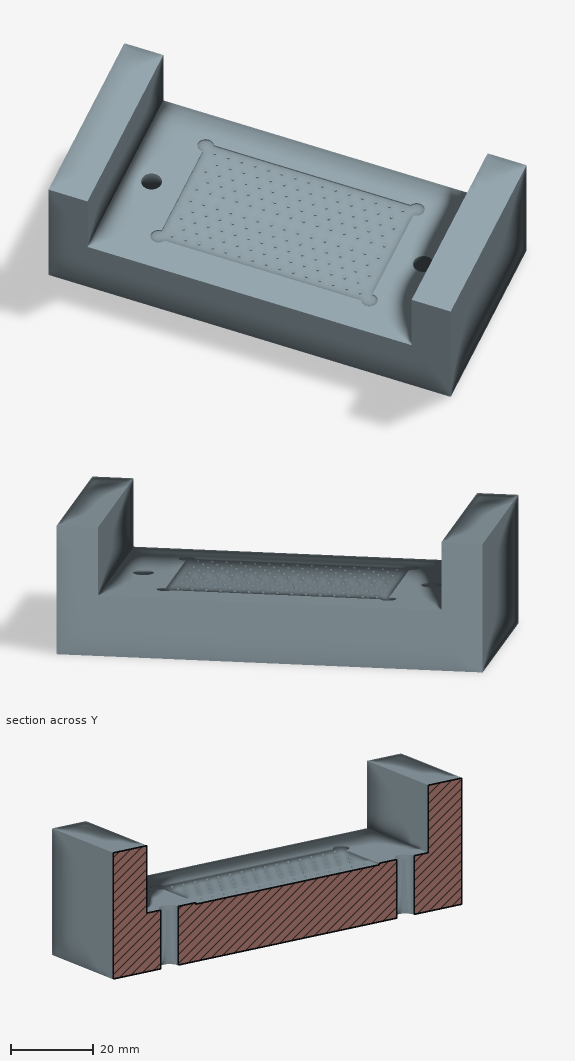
import cadquery as cq

length = 105.0
width = 50.0
height = 32.1
wall_thickness = 10.2
floor_height = 15.0

pocket_length = 55.0
pocket_width = 32.5
pocket_depth = 0.4
relief_diameter = 4.0
relief_inset = 0.81

mount_hole_diameter = 5.0
mount_hole_spacing = 71.0

pin_diameter = 0.6
pin_columns = 15
rows_per_bank = 5
pin_field_length = 49.0
pin_field_width = 28.0
bank_gap = 4.0
column_pitch = pin_field_length / (pin_columns - 1)
row_pitch = (pin_field_width - bank_gap) / 2 / (rows_per_bank - 1)

pocket_floor = floor_height - pocket_depth


def make_body():
    """U-shaped block: a floor with an upright wall at each end in X."""
    block = cq.Workplane("XY").box(length, width, height, centered=(True, True, False))
    channel = (
        cq.Workplane("XY", origin=(0, 0, floor_height))
        .rect(length - 2 * wall_thickness, width)
        .extrude(height - floor_height)
    )
    return block.cut(channel)


def make_pocket():
    """Rectangular recess whose corner reliefs are centred on its short edges."""
    plane = cq.Workplane("XY", origin=(0, 0, pocket_floor))
    recess = plane.rect(pocket_length, pocket_width).extrude(pocket_depth)
    reliefs = (
        plane.rect(pocket_length, pocket_width - 2 * relief_inset, forConstruction=True)
        .vertices()
        .circle(relief_diameter / 2)
        .extrude(pocket_depth)
    )
    return recess.union(reliefs)


def make_mount_holes():
    return (
        cq.Workplane("XY")
        .rarray(mount_hole_spacing, 1, 2, 1)
        .circle(mount_hole_diameter / 2)
        .extrude(floor_height)
    )


def pin_points():
    """Every second row, counted from the middle gap, has one pin fewer and sits half a pitch over."""
    points = []
    for row in range(rows_per_bank):
        columns = pin_columns - row % 2
        y = bank_gap / 2 + row * row_pitch
        for column in range(columns):
            x = (column - (columns - 1) / 2) * column_pitch
            points += [(x, y), (x, -y)]
    return points


def make_pins():
    return (
        cq.Workplane("XY", origin=(0, 0, pocket_floor))
        .pushPoints(pin_points())
        .circle(pin_diameter / 2)
        .extrude(pocket_depth)
    )


result = make_body().cut(make_pocket().cut(make_pins())).cut(make_mount_holes())